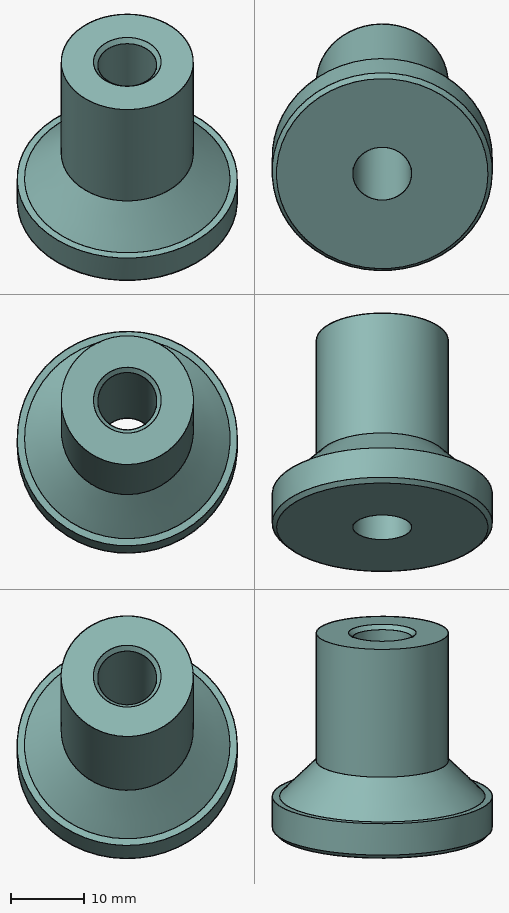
import cadquery as cq

flange_diameter = 30.0
stem_diameter = 18.0
cone_base_diameter = 28.0
bore_diameter = 8.0
total_height = 28.0
flange_height = 5.0
edge_chamfer = 0.6

cone_height = (cone_base_diameter - stem_diameter) / 2
cone_top = flange_height + cone_height


def make_body():
    """Flange, cone and stem as one solid of revolution about Z."""
    flange_radius = flange_diameter / 2
    stem_radius = stem_diameter / 2
    return (
        cq.Workplane("XZ")
        .moveTo(0, 0)
        .lineTo(flange_radius - edge_chamfer, 0)
        .lineTo(flange_radius, edge_chamfer)
        .lineTo(flange_radius, flange_height)
        .lineTo(cone_base_diameter / 2, flange_height)
        .lineTo(stem_radius, cone_top)
        .lineTo(stem_radius, total_height)
        .lineTo(0, total_height)
        .close()
        .revolve(360, (0, 0, 0), (0, 1, 0))
    )


def make_bore():
    """Through bore with a chamfered mouth at the top of the stem."""
    bore_radius = bore_diameter / 2
    return (
        cq.Workplane("XZ")
        .moveTo(0, 0)
        .lineTo(bore_radius, 0)
        .lineTo(bore_radius, total_height - edge_chamfer)
        .lineTo(bore_radius + edge_chamfer, total_height)
        .lineTo(0, total_height)
        .close()
        .revolve(360, (0, 0, 0), (0, 1, 0))
    )


result = make_body().cut(make_bore())